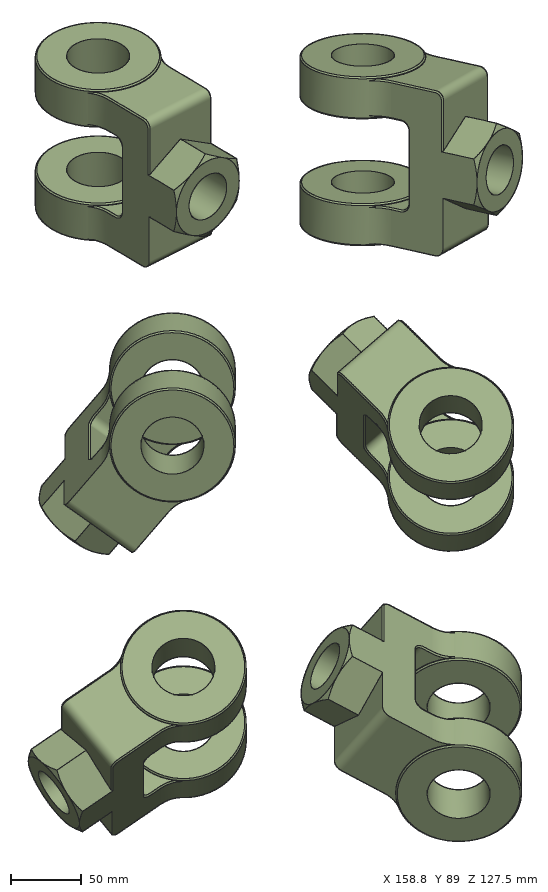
import cadquery as cq
import math

ring_radius = 44.5
bore_diameter = 44.5
ring_height = 31.8
overall_height = 127.5
edge_break = 1.1

body_width = 60.3
face_step = 1.6
body_end = 85.7
slot_bottom = 56.8
corner_radius = 6.4
neck_radius = 26.7
neck_overlap = 0.03

overall_length = 158.8
hex_chamfer_angle = 30.0
shank_hole_diameter = 36.2

shank_end = overall_length - ring_radius
half_width = body_width / 2
body_height = overall_height - 2 * face_step
slot_height = overall_height - 2 * ring_height + 2 * face_step
hex_corners = body_width / math.cos(math.pi / 6)
margin = 0.2


def make_body():
    """C-shaped yoke whose arms blend into the rings with concave necks."""
    inner_radius = ring_radius - neck_overlap
    reach = inner_radius + neck_radius
    neck_y = half_width + neck_radius
    neck_x = math.sqrt(reach**2 - neck_y**2)
    touch_x = neck_x * inner_radius / reach
    touch_y = neck_y * inner_radius / reach
    contact_angle = math.atan2(neck_y, neck_x) + math.pi
    middle_angle = (contact_angle + 1.5 * math.pi) / 2
    middle_x = neck_x + neck_radius * math.cos(middle_angle)
    middle_y = neck_y + neck_radius * math.sin(middle_angle)

    plan = (
        cq.Workplane("XY", origin=(0, 0, -body_height / 2))
        .moveTo(body_end, -half_width)
        .lineTo(body_end, half_width)
        .lineTo(neck_x, half_width)
        .threePointArc((middle_x, middle_y), (touch_x, touch_y))
        .lineTo(0, 0)
        .lineTo(touch_x, -touch_y)
        .threePointArc((middle_x, -middle_y), (neck_x, -half_width))
        .close()
        .extrude(body_height)
        .edges("|Y and >X")
        .fillet(corner_radius)
    )
    slot_start = -2 * ring_radius
    slot = (
        cq.Workplane("XY")
        .box(slot_bottom - slot_start, 2 * overall_height, slot_height)
        .translate(((slot_bottom + slot_start) / 2, 0, 0))
        .edges("|Y and >X")
        .fillet(corner_radius)
    )
    return plan.cut(slot)


def make_ring(center_z):
    return (
        cq.Workplane("XY", origin=(0, 0, center_z - ring_height / 2))
        .circle(ring_radius)
        .extrude(ring_height)
        .edges()
        .chamfer(edge_break)
    )


def make_shank():
    """Hexagon with corners up and down, its free end turned to a cone."""
    hexagon = (
        cq.Workplane("YZ", origin=(slot_bottom + corner_radius, 0, 0))
        .transformed(rotate=(0, 0, 90))
        .polygon(6, hex_corners)
        .extrude(shank_end - slot_bottom - corner_radius)
    )
    slope = math.tan(math.radians(hex_chamfer_angle))
    cone_length = hex_corners
    turned = (
        cq.Workplane("XY")
        .moveTo(0, 0)
        .lineTo(shank_end, 0)
        .lineTo(shank_end, half_width)
        .lineTo(shank_end - cone_length * slope, half_width + cone_length)
        .lineTo(0, half_width + cone_length)
        .close()
        .revolve(360, (0, 0, 0), (1, 0, 0))
    )
    return hexagon.intersect(turned)


def break_side_edges(yoke):
    """Chamfer both sides along the slot and along the upper outside down to the shank."""
    sides = yoke.faces("|Y").edges()
    slot_edges = sides.edges(cq.selectors.BoxSelector(
        (0.0, -body_width, -slot_height / 2 - margin),
        (slot_bottom + margin, body_width, slot_height / 2 + margin),
    ))
    upper_edges = sides.edges(cq.selectors.BoxSelector(
        (0.0, -body_width, hex_corners / 4 + margin),
        (body_end + margin, body_width, overall_height),
    ))
    return yoke.newObject(slot_edges.vals() + upper_edges.vals()).chamfer(edge_break)


ring_z = (overall_height - ring_height) / 2
result = break_side_edges(make_body().union(make_shank()))
for z in (-ring_z, ring_z):
    result = result.union(make_ring(z))

bore = cq.Workplane("XY").circle(bore_diameter / 2).extrude(overall_height, both=True)
shank_hole = cq.Workplane("YZ").circle(shank_hole_diameter / 2).extrude(overall_length)
hole_mouth = (
    cq.Workplane("YZ", origin=(slot_bottom, 0, 0))
    .circle(shank_hole_diameter / 2 + edge_break)
    .extrude(edge_break, taper=45)
)
result = result.cut(bore).cut(shank_hole).cut(hole_mouth)